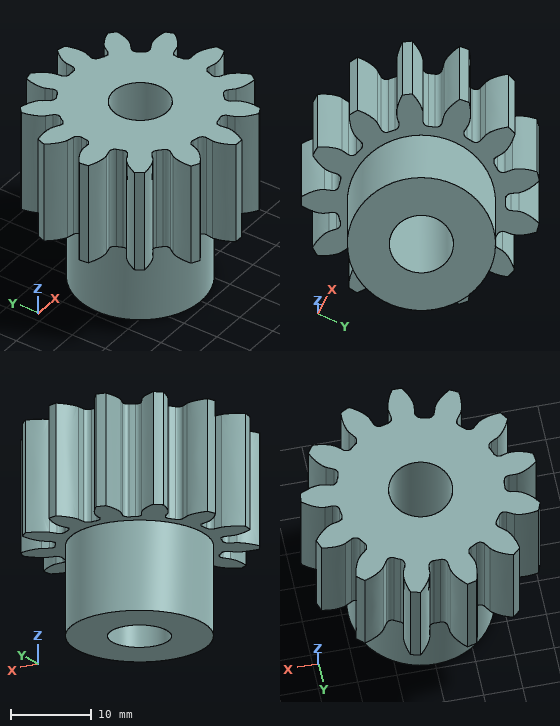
import cadquery as cq
import math

tooth_count = 13
outer_diameter = 30.0
pressure_angle = math.radians(20)
gear_width = 15.0
total_height = 27.0
hub_diameter = 18.48
bore_diameter = 8.0
root_fillet = 0.75

addendum_factor = 1
dedendum_factor = 1.25
module = outer_diameter / (tooth_count + 2 * addendum_factor)
outer_radius = outer_diameter / 2
pitch_radius = module * tooth_count / 2
base_radius = pitch_radius * math.cos(pressure_angle)
root_radius = pitch_radius - dedendum_factor * module
hub_height = total_height - gear_width

tooth_pitch = 2 * math.pi / tooth_count
first_tooth_angle = -math.pi / 2
flank_points = 7


def polar(radius, angle):
    return (radius * math.cos(angle), radius * math.sin(angle))


def involute(angle):
    return math.tan(angle) - angle


def tooth_half_angle(radius):
    """Half of the angle that a tooth spans at a radius on its involute flank."""
    flank_angle = math.acos(min(1, base_radius / radius))
    return tooth_pitch / 4 + involute(pressure_angle) - involute(flank_angle)


flank_step = (outer_radius - base_radius) / (flank_points - 1)
flank_radii = [base_radius + i * flank_step for i in range(flank_points)]
base_half_angle = tooth_half_angle(base_radius)


def gear_outline():
    """Involute flanks, radial below the base circle, joined by tip and root arcs."""
    start = polar(root_radius, first_tooth_angle - base_half_angle)
    outline = cq.Workplane("XY").workplane(offset=hub_height).moveTo(*start)
    for tooth in range(tooth_count):
        center = first_tooth_angle + tooth * tooth_pitch
        rising = [polar(r, center - tooth_half_angle(r)) for r in flank_radii]
        falling = [polar(r, center + tooth_half_angle(r)) for r in reversed(flank_radii)]
        next_root = polar(root_radius, center + tooth_pitch - base_half_angle)
        outline = (
            outline.lineTo(*rising[0])
            .spline(rising[1:], includeCurrent=True)
            .threePointArc(polar(outer_radius, center), falling[0])
            .spline(falling[1:], includeCurrent=True)
            .lineTo(*polar(root_radius, center + base_half_angle))
            .threePointArc(polar(root_radius, center + tooth_pitch / 2), next_root)
        )
    return outline.close()


def root_corner_points():
    """Points where the flanks meet the root circle, at half the gear width."""
    height = hub_height + gear_width / 2
    points = []
    for tooth in range(tooth_count):
        center = first_tooth_angle + tooth * tooth_pitch
        for side in (-1, 1):
            points.append((*polar(root_radius, center + side * base_half_angle), height))
    return points


gear = gear_outline().extrude(gear_width)
root_edges = gear.newObject(
    [gear.edges("|Z").edges(cq.NearestToPointSelector(p)).val() for p in root_corner_points()]
)
gear = root_edges.fillet(root_fillet)

hub = cq.Workplane("XY").circle(hub_diameter / 2).extrude(hub_height)
bore = cq.Workplane("XY").circle(bore_diameter / 2).extrude(total_height)
result = gear.union(hub).cut(bore)